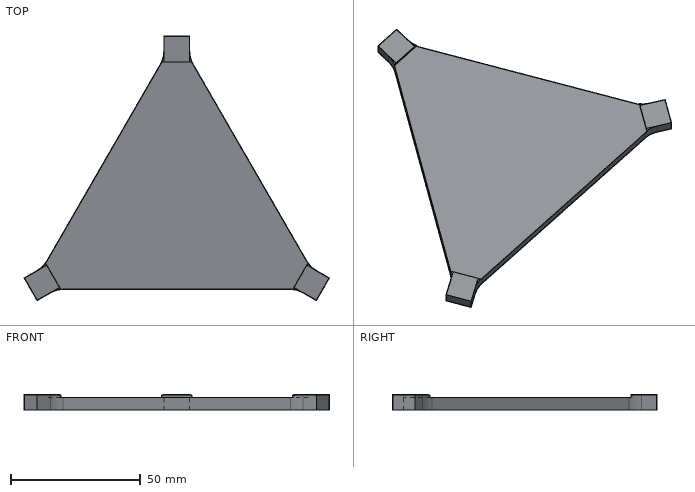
import cadquery as cq
import math

overall_width = 118.0
total_height = 6.0
plate_height = 5.0
lug_width = 10.0
lug_length = 10.0
plate_inradius = 32.7
root_radius = 10.0
flare_reach = 1.2
flare_drop = 0.5
corner_angles = (0, 120, 240)

half_lug = lug_width / 2
tip_radius = (overall_width / 2 - half_lug * math.sin(math.radians(30))) / math.cos(math.radians(30))
pad_start = tip_radius - lug_length


def bar(width, start, height):
    """Radial bar pointing along +Y, from start out to the lug tip."""
    length = tip_radius - start
    return cq.Workplane("XY").box(width, length, height, (True, False, False)).translate((0, start, 0))


def at_corners(solid):
    """The same solid repeated at the three corners."""
    return [solid.rotate((0, 0, 0), (0, 0, 1), angle) for angle in corner_angles]


def blended_body(height):
    """Triangle with three radial lugs and rounded inner corners."""
    body = cq.Workplane("XY").polygon(3, 4 * plate_inradius).extrude(height)
    body = body.rotate((0, 0, 0), (0, 0, 1), 90)
    side_meets_lug = (plate_inradius - half_lug * math.cos(math.radians(30))) / math.sin(math.radians(30))
    tip_clearance = cq.Workplane("XY").box(
        2 * tip_radius, 2 * tip_radius, height, (True, False, False)
    ).translate((0, side_meets_lug, 0))
    for clearance in at_corners(tip_clearance):
        body = body.cut(clearance)
    for lug in at_corners(bar(lug_width, 0, height)):
        body = body.union(lug)
    body = body.clean()
    inner_limit = (math.hypot(half_lug, side_meets_lug) + tip_radius) / 2
    edges = body.edges("|Z").vals()
    roots = [edge for edge in edges if math.hypot(edge.Center().x, edge.Center().y) < inner_limit]
    return body.newObject(roots).fillet(root_radius)


def pad_zone():
    """Space of one pad, with a flat roof over the lug and a slope over each flare."""
    half_zone = half_lug + flare_reach
    outline = [
        (-half_zone, 0),
        (half_zone, 0),
        (half_zone, total_height - flare_drop),
        (half_lug, total_height),
        (-half_lug, total_height),
        (-half_zone, total_height - flare_drop),
    ]
    profile = cq.Workplane("XZ", origin=(0, pad_start, 0)).polyline(outline).close()
    return profile.extrude(-lug_length)


result = blended_body(plate_height)
full_body = blended_body(total_height)
for zone in at_corners(pad_zone()):
    result = result.union(full_body.intersect(zone))